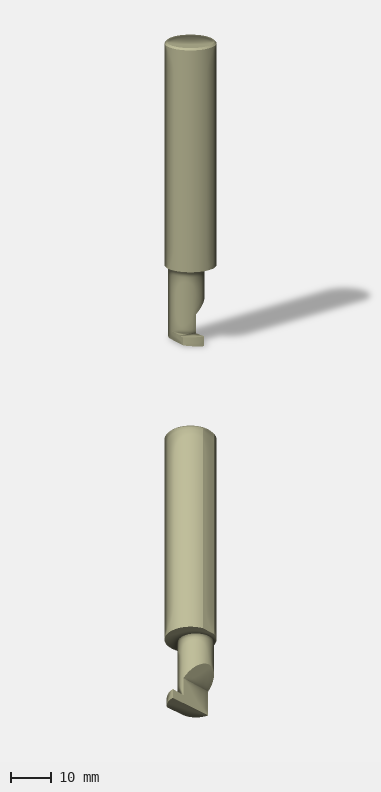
import cadquery as cq
import math

TOTAL_LENGTH = 76.2
SHANK_RADIUS = 12.7 / 2
TOP_CHAMFER = 0.45
FLAT_DEPTH = 0.3

NECK_RADIUS = 4.46
NECK_TOP = 19.1
NECK_X = NECK_RADIUS - SHANK_RADIUS

SHOULDER_START = 7.2
SHOULDER_END = 11.1

TOOTH_HEIGHT = 2.5
TOOTH_CORNER_X = 3.7
TOOTH_ROOT_X = 2.45
FLANK_RADIUS = 6.85
CLEARANCE_SLOPE = math.tan(math.radians(2))
SIDE_DROP = 0.15
SIDE_SLOPE = SIDE_DROP / (SHANK_RADIUS - TOOTH_ROOT_X)
CUTTER_SIZE = 4 * SHANK_RADIUS


def make_shank():
    length = TOTAL_LENGTH - NECK_TOP
    base = cq.Workplane("XY", origin=(0, 0, NECK_TOP))
    shank = base.circle(SHANK_RADIUS).extrude(length).faces(">Z").chamfer(TOP_CHAMFER)
    flat_cut = (
        base.center(0, SHANK_RADIUS - FLAT_DEPTH / 2)
        .rect(CUTTER_SIZE, FLAT_DEPTH)
        .extrude(length)
    )
    return shank.cut(flat_cut)


def make_neck():
    neck = cq.Workplane("XY").center(NECK_X, 0).circle(NECK_RADIUS).extrude(NECK_TOP)
    rake_cut = (
        cq.Workplane("YZ")
        .polyline([(0, 0), (0, SHOULDER_START), (NECK_RADIUS, SHOULDER_END), (NECK_RADIUS, 0)])
        .close()
        .extrude(CUTTER_SIZE / 2, both=True)
    )
    return neck.cut(rake_cut)


def clearance_cutter(height, x_slope, y_slope, depth):
    """Block bounded by the plane z = height + x_slope * (x - tip) + y_slope * y."""
    plane = cq.Plane(origin=(SHANK_RADIUS, 0, height), normal=(-x_slope, -y_slope, 1))
    return cq.Workplane(plane).rect(CUTTER_SIZE, CUTTER_SIZE).extrude(depth)


def make_tooth():
    tooth = (
        cq.Workplane("XY")
        .moveTo(NECK_X, 0)
        .lineTo(NECK_X, -NECK_RADIUS)
        .lineTo(TOOTH_CORNER_X, -NECK_RADIUS)
        .radiusArc((SHANK_RADIUS, 0), -FLANK_RADIUS)
        .close()
        .extrude(TOOTH_HEIGHT)
    )
    outer_region = (
        cq.Workplane("XY", origin=(TOOTH_ROOT_X, 0, 0))
        .rect(CUTTER_SIZE, CUTTER_SIZE)
        .extrude(CUTTER_SIZE)
        .translate((CUTTER_SIZE / 2, 0, 0))
    )
    upper_clearance = clearance_cutter(TOOTH_HEIGHT, SIDE_SLOPE, CLEARANCE_SLOPE, TOOTH_HEIGHT)
    return tooth.cut(upper_clearance.intersect(outer_region))


body = make_shank().union(make_neck()).union(make_tooth())
end_clearance = clearance_cutter(0, -CLEARANCE_SLOPE, -CLEARANCE_SLOPE, -TOOTH_HEIGHT)
result = body.cut(end_clearance)